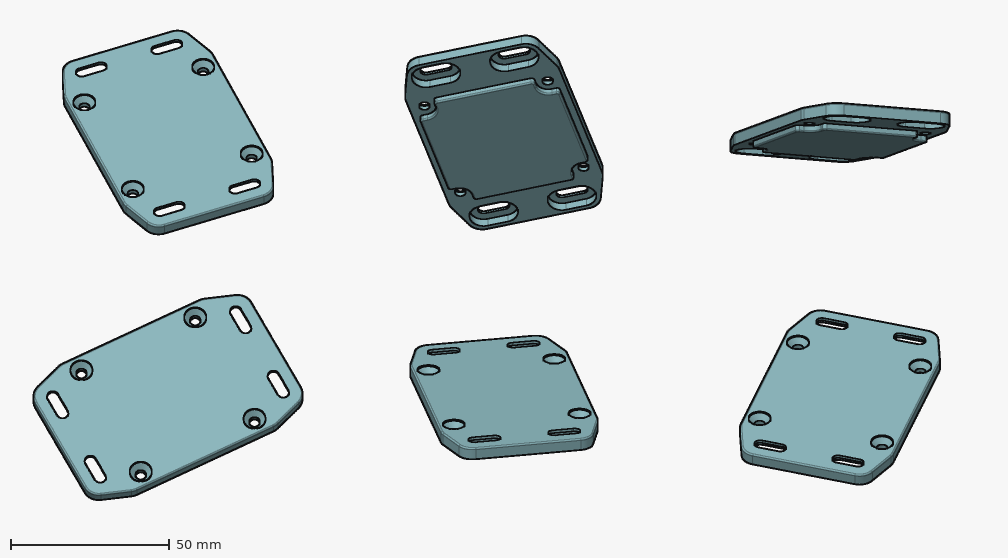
import cadquery as cq
import math

plate_length = 77.0
plate_width = 50.5
plate_thickness = 4.0
taper_length = 13.3
taper_angle = 20.0
plate_corner_radius = 5.0
rim_fillet = 0.5

pad_size = 45.9
pad_height = 2.0
pad_corner_radius = 1.0
pad_rim_fillet = 0.5
notch_inner_radius = 4.0
notch_clearance = 3.8

screw_pitch = 40.5
screw_diameter = 3.4
countersink_diameter = 7.0
countersink_angle = 90.0
countersink_recess = 0.5

slot_pitch_x = 65.15
slot_pitch_y = 25.7
slot_length = 10.3
slot_width = 3.7
slot_pocket_width = 9.0
slot_web = 1.0


def make_plate():
    """Plate with tapered ends, rounded corners and a rounded top rim."""
    half_length = plate_length / 2
    half_width = plate_width / 2
    shoulder_x = half_length - taper_length
    end_y = half_width - taper_length * math.tan(math.radians(taper_angle))
    outline = [
        (-shoulder_x, -half_width),
        (shoulder_x, -half_width),
        (half_length, -end_y),
        (half_length, end_y),
        (shoulder_x, half_width),
        (-shoulder_x, half_width),
        (-half_length, end_y),
        (-half_length, -end_y),
    ]
    plate = cq.Workplane("XY").polyline(outline).close().extrude(plate_thickness)
    plate = plate.edges("|Z").fillet(plate_corner_radius)
    return plate.faces(">Z").edges().fillet(rim_fillet)


def rounded_bar(size_x, size_y):
    """Bar of the pad's height, with rounded upright corners and its base at Z = 0."""
    bar = cq.Workplane("XY").rect(size_x, size_y).extrude(pad_height)
    return bar.edges("|Z").fillet(pad_corner_radius)


def make_pad():
    """Square pad whose corners are notched to leave room around the screws."""
    notch_wall = screw_pitch / 2 - notch_clearance

    pad = rounded_bar(pad_size, 2 * notch_wall).union(rounded_bar(2 * notch_wall, pad_size))

    inner_limit = screw_pitch / 2
    inner_corners = cq.selectors.BoxSelector(
        (-inner_limit, -inner_limit, 0),
        (inner_limit, inner_limit, pad_height),
    )
    pad = pad.edges("|Z").edges(inner_corners).fillet(notch_inner_radius)
    return pad.faces("<Z").edges().fillet(pad_rim_fillet).translate((0, 0, -pad_height))


def cut_screw_holes(body):
    """Through holes whose countersinks are sunk below the top face."""
    cone_run = (countersink_diameter - screw_diameter) / 2
    cone_depth = cone_run / math.tan(math.radians(countersink_angle / 2))
    recess_z = plate_thickness - countersink_recess
    cutter = (
        cq.Workplane("XZ")
        .polyline(
            [
                (0, 0),
                (screw_diameter / 2, 0),
                (screw_diameter / 2, recess_z - cone_depth),
                (countersink_diameter / 2, recess_z),
                (countersink_diameter / 2, plate_thickness),
                (0, plate_thickness),
            ]
        )
        .close()
        .revolve(360, (0, 0), (0, 1))
    )
    for x in (-screw_pitch / 2, screw_pitch / 2):
        for y in (-screw_pitch / 2, screw_pitch / 2):
            body = body.cut(cutter.translate((x, y, 0)))
    return body


def slot_cutters(length, width, height):
    """Four upright slot-shaped blocks at the slot places, standing on the plate underside."""
    return (
        cq.Workplane("XY")
        .rect(slot_pitch_x, slot_pitch_y, forConstruction=True)
        .vertices()
        .slot2D(length, width, angle=90)
        .extrude(height)
    )


def cut_slots(body):
    """Four through slots, each opening into a wider pocket from below."""
    pocket_length = slot_length + slot_pocket_width - slot_width
    pocket_depth = plate_thickness - slot_web
    body = body.cut(slot_cutters(slot_length, slot_width, plate_thickness))
    return body.cut(slot_cutters(pocket_length, slot_pocket_width, pocket_depth))


result = make_plate().union(make_pad())
result = cut_screw_holes(result)
result = cut_slots(result)